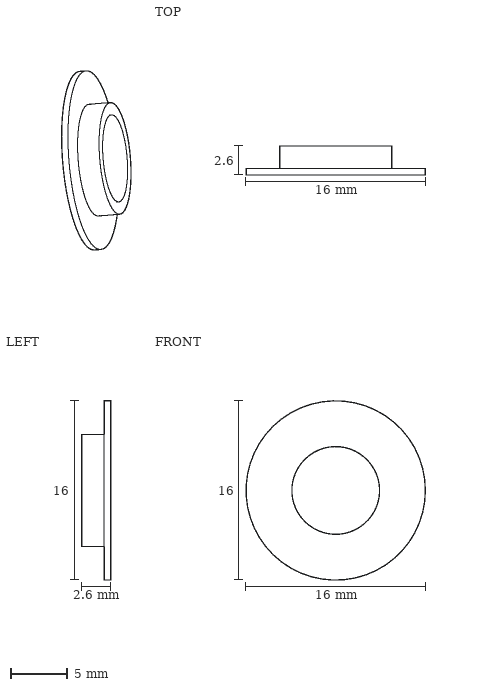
import cadquery as cq

flange_diameter = 16.0
flange_thickness = 0.6
sleeve_diameter = 10.0
bore_diameter = 7.8
overall_length = 2.6


def cylinder_along_y(diameter, length):
    """Solid cylinder starting at Y = 0 and running toward +Y."""
    return cq.Workplane("XZ").circle(diameter / 2).extrude(-length)


flange = cylinder_along_y(flange_diameter, flange_thickness)
sleeve = cylinder_along_y(sleeve_diameter, overall_length)
bore = cylinder_along_y(bore_diameter, overall_length)

result = flange.union(sleeve).cut(bore)